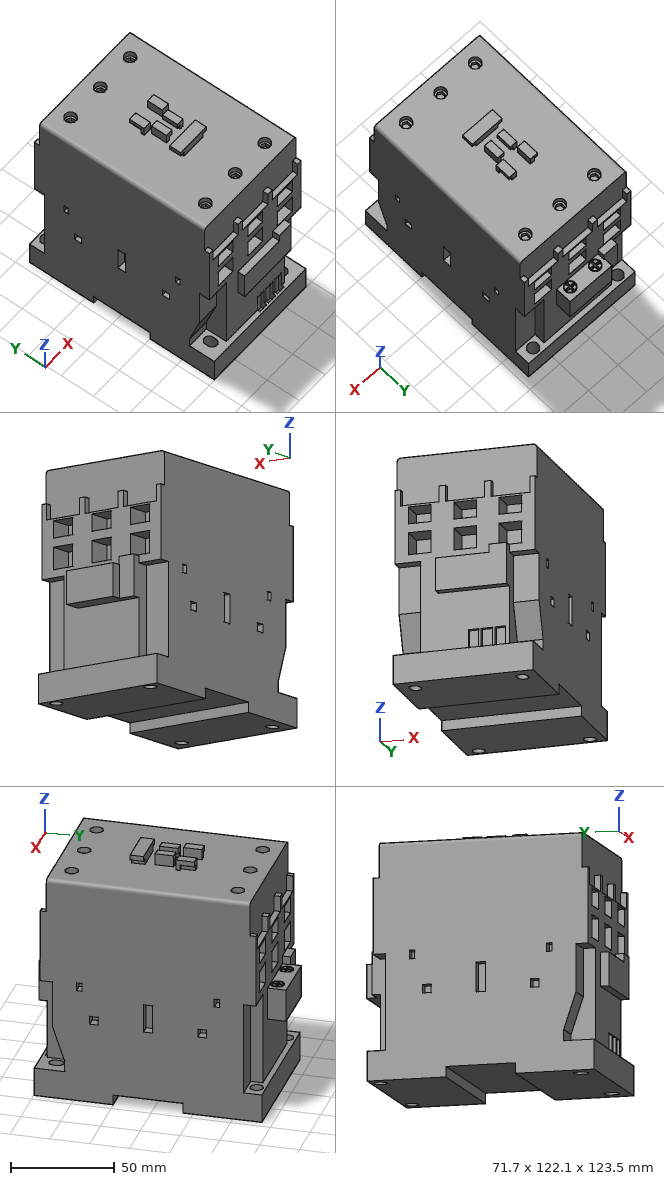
import cadquery as cq

WIDTH = 71.7
BASE_LENGTH = 114.4
BASE_TOP = 14.8
BODY_LENGTH = 108.5
BODY_TOP = 117.6
HEAD_LENGTH = 102.3
COMB_FLOOR = 92.0
COMB_TOP = 100.2
EDGE_RADIUS = 2.1
RAIL_WIDTH = 35.1
RAIL_DEPTH = 5.2

POLE_PITCH = 23.2
COMB_GAP = 19.8
WINDOW_WIDTH = 11.5
WINDOW_DEPTH = 12.4
WINDOW_SPANS = ((66.6, 77.8), (82.4, 91.0))
SCREW_Y = 41.8
SCREW_HOLE_DIAMETER = 6.5
SCREW_HOLE_DEPTH = 3.5
HEX_FLATS = 4.1
HEX_DEPTH = 2.5

POST_WIDTH = 45.3
CUT_TOP = 62.5
CUT_DEPTH = 6.2
CUT_FOOT_DEPTH = 12.4
SLOPE_TOP = 38.7
SLOPE_BOTTOM = 20.4
MOUNT_DIAMETER = 6.4
MOUNT_X = 28.4
MOUNT_Y = 52.6
SLOT_WIDTH = 5.5
SLOT_LENGTH = 7.4
SLOT_X = 27.4
SLOT_Y = -48.3

PLATE_REACH = 58.5
PLATE_BOTTOM = 45.2
PLATE_TOP = 62.0
PLATE_TAB_TOP = 66.2
PLATE_INNER_X = 13.6

COIL_WIDTH = 28.2
COIL_REACH = 63.6
COIL_SCREW_X = 8.4
COIL_SCREW_Y = 57.8
COIL_HOLE_DIAMETER = 6.5
COIL_HEAD_DIAMETER = 5.9
COIL_RING_DEPTH = 0.6
CROSS_LENGTH = 5.0
CROSS_WIDTH = 1.0
CROSS_DEPTH = 1.0

GROOVE_SPANS = ((1.7, 6.9), (8.3, 14.0), (15.5, 20.6))
GROOVE_TOP = 25.0
GROOVE_DEPTH = 1.9
GROOVE_LEAD = 1.5
GROOVE_SINK = 5.0

POCKET_DEPTH = 5.0
SIDE_POCKETS = (
    (0.0, 48.7, 4.7, 14.7),
    (34.6, 61.5, 2.7, 4.2),
    (-34.6, 61.5, 2.7, 4.2),
    (27.2, 44.2, 4.3, 4.2),
    (-27.2, 44.2, 4.3, 4.2),
)

CAP_TOP = 123.0
CAP_BOTTOM = 120.5
CROSSBAR_WIDTH = 20.0
CROSSBAR_STEM_WIDTH = 14.8
CROSSBAR_Y = (-15.9, -9.1)
OUTER_BAR_X = (4.7, 9.5)
OUTER_BAR_Y = (7.0, 16.2)
OUTER_BAR_FOOT_Y = 9.0
OUTER_BAR_INSET = 2.0
INNER_BAR_X = (2.1, 6.4)
INNER_BAR_Y = (-4.3, 5.0)
INNER_BAR_TOP = 123.5
INNER_BAR_INSET = 2.1


def block(x_span, y_span, z_span):
    """Box given by its limits along the three axes."""
    sizes = [span[1] - span[0] for span in (x_span, y_span, z_span)]
    corner = (x_span[0], y_span[0], z_span[0])
    return cq.Workplane("XY").box(*sizes, centered=False).translate(corner)


def centred(size):
    return (-size / 2, size / 2)


def half_turn(shape):
    """Copy for the opposite end, turned about the Z axis."""
    return shape.rotate((0, 0, 0), (0, 0, 1), 180)


def housing():
    base = block(centred(WIDTH), centred(BASE_LENGTH), (0, BASE_TOP))
    base = base.cut(block(centred(WIDTH), centred(RAIL_WIDTH), (0, RAIL_DEPTH)))
    body = block(centred(WIDTH), centred(BODY_LENGTH), (BASE_TOP, COMB_TOP))
    head = block(centred(WIDTH), centred(HEAD_LENGTH), (BASE_TOP, BODY_TOP))
    head = head.edges("|Y and >Z").fillet(EDGE_RADIUS)
    return base.union(body).union(head)


def terminal_cuts():
    """Comb gaps, wire windows and clamp-screw holes of the front end."""
    face_y = -BODY_LENGTH / 2
    gap_y = (face_y, -HEAD_LENGTH / 2)
    window_y = (face_y, face_y + WINDOW_DEPTH)
    hole_floor = BODY_TOP - SCREW_HOLE_DEPTH
    cuts = cq.Workplane("XY")
    for x in (-POLE_PITCH, 0, POLE_PITCH):
        gap_x = (x - COMB_GAP / 2, x + COMB_GAP / 2)
        cuts = cuts.add(block(gap_x, gap_y, (COMB_FLOOR, COMB_TOP)))
        window_x = (x - WINDOW_WIDTH / 2, x + WINDOW_WIDTH / 2)
        for window_z in WINDOW_SPANS:
            cuts = cuts.add(block(window_x, window_y, window_z))
        hole = cq.Workplane("XY", origin=(x, -SCREW_Y, hole_floor))
        cuts = cuts.add(hole.circle(SCREW_HOLE_DIAMETER / 2).extrude(SCREW_HOLE_DEPTH))
        socket = hole.polygon(6, HEX_FLATS, circumscribed=True)
        cuts = cuts.add(socket.extrude(-HEX_DEPTH))
    return cuts.combine()


def corner_cuts():
    """Cut-outs that free the mounting holes, and the holes themselves."""
    face_y = BODY_LENGTH / 2
    shallow_y = face_y - CUT_DEPTH
    foot_y = face_y - CUT_FOOT_DEPTH
    front_profile = [
        (-face_y, BASE_TOP),
        (-foot_y, BASE_TOP),
        (-foot_y, SLOPE_BOTTOM),
        (-shallow_y, SLOPE_TOP),
        (-shallow_y, CUT_TOP),
        (-face_y, CUT_TOP),
    ]
    ends = cq.Workplane("YZ").polyline(front_profile).close().extrude(WIDTH / 2, both=True)
    ends = ends.union(block(centred(WIDTH), (shallow_y, face_y), (BASE_TOP, CUT_TOP)))
    ends = ends.cut(block(centred(POST_WIDTH), centred(BODY_LENGTH), (BASE_TOP, CUT_TOP)))
    holes = (
        cq.Workplane("XY")
        .pushPoints([(-MOUNT_X, MOUNT_Y), (MOUNT_X, MOUNT_Y)])
        .circle(MOUNT_DIAMETER / 2)
        .extrude(BASE_TOP)
    )
    slots = (
        cq.Workplane("XY")
        .pushPoints([(-SLOT_X, SLOT_Y), (SLOT_X, SLOT_Y)])
        .slot2D(SLOT_LENGTH, SLOT_WIDTH, 90)
        .extrude(BASE_TOP)
    )
    return ends.union(holes).union(slots)


def front_grooves():
    face_y = -BODY_LENGTH / 2
    y_span = (face_y - GROOVE_LEAD, face_y + GROOVE_DEPTH)
    z_span = (BASE_TOP - GROOVE_SINK, GROOVE_TOP)
    cuts = cq.Workplane("XY")
    for x_span in GROOVE_SPANS:
        cuts = cuts.add(block(x_span, y_span, z_span))
    return cuts.combine()


def side_pockets():
    cuts = cq.Workplane("XY")
    for y, z, length, height in SIDE_POCKETS:
        for side in (-1, 1):
            x = side * (WIDTH - POCKET_DEPTH) / 2
            cuts = cuts.add(cq.Workplane("XY").box(POCKET_DEPTH, length, height).translate((x, y, z)))
    return cuts.combine()


def cover_plate():
    """Plate on the front end with a raised tab at its +X side."""
    y_span = (-PLATE_REACH, -BODY_LENGTH / 2)
    edge_x = POST_WIDTH / 2
    plate = block((-PLATE_INNER_X, edge_x), y_span, (PLATE_BOTTOM, PLATE_TOP))
    tab = block((PLATE_INNER_X, edge_x), y_span, (PLATE_TOP, PLATE_TAB_TOP))
    return plate.union(tab)


def coil_block():
    return block(centred(COIL_WIDTH), (BODY_LENGTH / 2, COIL_REACH), (PLATE_BOTTOM, PLATE_TOP))


def coil_screw_cuts():
    """Ring around each coil screw head and the cross slot in the head."""
    top = cq.Workplane("XY", origin=(0, COIL_SCREW_Y, PLATE_TOP))
    screws = top.pushPoints([(-COIL_SCREW_X, 0), (COIL_SCREW_X, 0)])
    cuts = screws.circle(COIL_HOLE_DIAMETER / 2).circle(COIL_HEAD_DIAMETER / 2).extrude(-COIL_RING_DEPTH)
    for size in ((CROSS_LENGTH, CROSS_WIDTH), (CROSS_WIDTH, CROSS_LENGTH)):
        cuts = cuts.union(screws.rect(*size).extrude(-CROSS_DEPTH))
    return cuts


def indicator_bars():
    """Crossbar and two mirrored pairs of bars standing on the top face."""
    crossbar = block(centred(CROSSBAR_WIDTH), CROSSBAR_Y, (CAP_BOTTOM, CAP_TOP))
    stem = block(centred(CROSSBAR_STEM_WIDTH), CROSSBAR_Y, (BODY_TOP, CAP_BOTTOM))

    outer = block(OUTER_BAR_X, OUTER_BAR_Y, (BODY_TOP, CAP_TOP))
    outer_undercut = block(
        (OUTER_BAR_X[1] - OUTER_BAR_INSET, OUTER_BAR_X[1]),
        (OUTER_BAR_FOOT_Y, OUTER_BAR_Y[1]),
        (BODY_TOP, CAP_BOTTOM),
    )
    inner = block(INNER_BAR_X, INNER_BAR_Y, (BODY_TOP, INNER_BAR_TOP))
    inner_undercut = block(
        (INNER_BAR_X[0], INNER_BAR_X[0] + INNER_BAR_INSET),
        INNER_BAR_Y,
        (BODY_TOP, CAP_BOTTOM),
    )
    pair = outer.cut(outer_undercut).union(inner.cut(inner_undercut))
    return crossbar.union(stem).union(pair).union(pair.mirror("YZ"))


front_terminals = terminal_cuts()
front_plate = cover_plate()

result = housing().cut(corner_cuts()).cut(front_grooves()).cut(side_pockets())
result = result.cut(front_terminals).cut(half_turn(front_terminals))
result = result.union(front_plate).union(half_turn(front_plate))
result = result.union(coil_block()).cut(coil_screw_cuts()).union(indicator_bars())